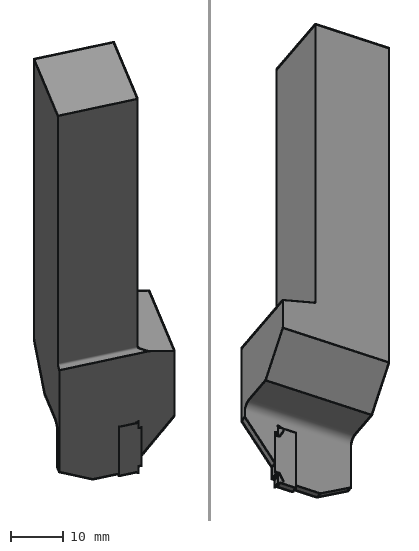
import cadquery as cq

total_height = 101.4
shank_size = 16.0
head_width = 17.0
head_depth = 23.1

shoulder_top = 33.2
back_shoulder_bottom = 31.3
side_shoulder_bottom = 32.7
shoulder_radius = 0.5

head_bottom = 16.6
chamfer_top = 24.5
chamfer_width = 7.1

blade_thickness = 1.4
blade_face = head_width - blade_thickness
blade_root_radius = 1.7
blade_bottom = 0.9
blade_front_corner_height = 4.9
blade_front_corner_depth = 6.7
blade_back_corner_height = 13.6

insert_height = 14.1
insert_front = 12.0
insert_back = 16.5
insert_relief = 0.3
relief_end = 15.4
cutting_edge = 15.9
notch_length = 1.8

lip_start = 14.7
lip_length = 2.5
lip_shoulder = 15.6
lip_corner_length = 0.9
lip_height = 0.15

blade_back_foot = 4.7


def make_front_profile():
    """Holder outline seen along Y, extruded through the full head depth."""
    return (
        cq.Workplane("XZ")
        .moveTo(0, total_height)
        .lineTo(shank_size, total_height)
        .lineTo(shank_size, shoulder_top)
        .lineTo(head_width, side_shoulder_bottom)
        .lineTo(head_width, 0)
        .lineTo(blade_face, 0)
        .lineTo(blade_face, head_bottom - blade_root_radius)
        .radiusArc((blade_face - blade_root_radius, head_bottom), -blade_root_radius)
        .lineTo(chamfer_width, head_bottom)
        .lineTo(0, chamfer_top)
        .close()
        .extrude(-head_depth)
        .edges(cq.selectors.NearestToPointSelector((shank_size, head_depth / 2, shoulder_top)))
        .fillet(shoulder_radius)
    )


def make_side_profile():
    """Holder outline seen along X, extruded through the full head width."""
    outline = [
        (0, total_height),
        (shank_size, total_height),
        (shank_size, shoulder_top),
        (head_depth, back_shoulder_bottom),
        (head_depth, blade_back_corner_height),
        (insert_back, blade_back_foot),
        (insert_front, blade_bottom),
        (blade_front_corner_depth, blade_bottom),
        (0, blade_front_corner_height),
    ]
    inner_corner = cq.selectors.NearestToPointSelector((head_width / 2, shank_size, shoulder_top))
    return (
        cq.Workplane("YZ")
        .polyline(outline)
        .close()
        .extrude(head_width)
        .edges(inner_corner)
        .fillet(shoulder_radius)
    )


def make_insert_blank():
    """Flat insert with relieved ends and a notch behind each cutting edge."""
    outline = [
        (insert_front, insert_relief),
        (relief_end, insert_relief),
        (cutting_edge, 0),
        (cutting_edge, notch_length),
        (insert_back, notch_length),
        (insert_back, insert_height - notch_length),
        (cutting_edge, insert_height - notch_length),
        (cutting_edge, insert_height),
        (relief_end, insert_height - insert_relief),
        (insert_front, insert_height - insert_relief),
    ]
    return (
        cq.Workplane("YZ", origin=(blade_face, 0, 0))
        .polyline(outline)
        .close()
        .extrude(blade_thickness)
    )


def make_lower_lip():
    """Lip that rises from the insert face towards the lower cutting edge."""
    outline = [
        (lip_start, insert_relief),
        (relief_end, insert_relief),
        (cutting_edge, 0),
        (cutting_edge, notch_length),
        (insert_back, notch_length),
        (insert_back, lip_length),
        (lip_shoulder, lip_length),
        (lip_start, lip_corner_length),
    ]
    plate = (
        cq.Workplane("YZ", origin=(blade_face - lip_height, 0, 0))
        .polyline(outline)
        .close()
        .extrude(lip_height)
    )
    ramp = (
        cq.Workplane("XY")
        .polyline([
            (blade_face, lip_start),
            (blade_face, insert_back),
            (blade_face - lip_height, insert_back),
        ])
        .close()
        .extrude(insert_height)
    )
    return plate.intersect(ramp)


def make_insert(blank):
    """Insert blank with a lip at its lower tip and a mirrored one at its upper tip."""
    lower_lip = make_lower_lip()
    upper_lip = lower_lip.mirror("XY", (0, 0, insert_height / 2))
    return blank.union(lower_lip).union(upper_lip)


def make_holder(blank):
    """Shank, head and blade in one piece, with a matching pocket for the insert."""
    return make_front_profile().intersect(make_side_profile()).cut(blank)


insert_blank = make_insert_blank()
insert = make_insert(insert_blank)
holder = make_holder(insert_blank)

result = cq.Compound.makeCompound([holder.solids().val(), insert.solids().val()])